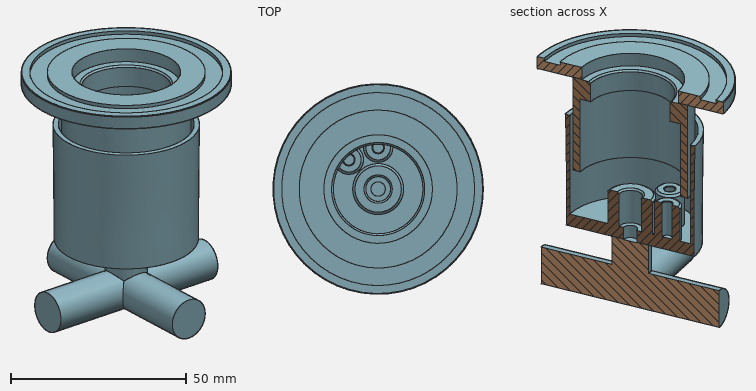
import cadquery as cq
import math

OVERALL_HEIGHT = 73.4

FLANGE_RADIUS = 30.0
FLANGE_THICKNESS = 4.0
FLANGE_BORE_RADIUS = 15.5
FLANGE_EDGE_CHAMFER = 0.2
GROOVE_OUTER_RADIUS = 27.5
GROOVE_INNER_RADIUS = 22.5
GROOVE_DEPTH = 1.0

NECK_RADIUS = 18.5
NECK_EXPOSED_LENGTH = 12.4
NECK_INSERTION = 17.6
LIP_BORE_RADIUS = 12.8
LIP_LENGTH = 6.5
LIP_CHAMFER = 0.5
NECK_INNER_RADIUS = 16.15

CAP_TOP_RADIUS = 20.9
CAP_BOTTOM_RADIUS = 20.6
CAP_HEIGHT = 35.95
CAP_INNER_RADIUS = 19.4
CAP_FLOOR_THICKNESS = 3.95
BOSS_HEIGHT = 11.0
BOSS_CHAMFER = 0.65
CENTRE_BOSS_RADIUS = 7.3
CENTRE_HOLE_RADIUS = 3.5
CENTRE_HOLE_CHAMFER = 0.5
SCREW_HOLE_RADIUS = 2.05
SIDE_BOSS_RADIUS = 4.2
SIDE_HOLE_RADIUS = 1.55
SIDE_HOLE_CHAMFER = 0.2
SIDE_BOSS_OFFSET = 11.8
SIDE_BOSS_ANGLES = (90, 135)

ARM_RADIUS = 6.0
ARM_REACH = 28.6
STEM_RADIUS = 6.0

FLANGE_BOTTOM = OVERALL_HEIGHT - FLANGE_THICKNESS
CAP_TOP = FLANGE_BOTTOM - NECK_EXPOSED_LENGTH
CAP_BOTTOM = CAP_TOP - CAP_HEIGHT
CAP_FLOOR = CAP_BOTTOM + CAP_FLOOR_THICKNESS
BOSS_TOP = CAP_FLOOR + BOSS_HEIGHT
ARM_AXIS_HEIGHT = ARM_RADIUS

INNER_RIM = cq.selectors.RadiusNthSelector(0)


def cylinder(radius, bottom, top, x=0, y=0):
    """Upright cylinder between two levels."""
    return cq.Workplane("XY", origin=(x, y, bottom)).circle(radius).extrude(top - bottom)


def make_flange():
    flange = cylinder(FLANGE_RADIUS, FLANGE_BOTTOM, OVERALL_HEIGHT)
    flange = flange.edges().chamfer(FLANGE_EDGE_CHAMFER)
    flange = flange.cut(cylinder(FLANGE_BORE_RADIUS, FLANGE_BOTTOM, OVERALL_HEIGHT))
    groove = (
        cq.Workplane("XY", origin=(0, 0, OVERALL_HEIGHT - GROOVE_DEPTH))
        .circle(GROOVE_OUTER_RADIUS)
        .circle(GROOVE_INNER_RADIUS)
        .extrude(GROOVE_DEPTH)
    )
    return flange.cut(groove)


def make_neck():
    neck_bottom = CAP_TOP - NECK_INSERTION
    lip_bottom = FLANGE_BOTTOM - LIP_LENGTH
    neck = cylinder(NECK_RADIUS, neck_bottom, FLANGE_BOTTOM)
    neck = neck.cut(cylinder(LIP_BORE_RADIUS, lip_bottom, FLANGE_BOTTOM))
    neck = neck.faces(">Z").edges(INNER_RIM).chamfer(LIP_CHAMFER)
    return neck.cut(cylinder(NECK_INNER_RADIUS, neck_bottom, lip_bottom))


def make_boss(radius, hole_radius, hole_chamfer):
    """Upright boss on the cap floor, centred on the Z axis, with both upper rims chamfered."""
    boss = cylinder(radius, CAP_FLOOR, BOSS_TOP).faces(">Z").edges().chamfer(BOSS_CHAMFER)
    boss = boss.cut(cylinder(hole_radius, CAP_FLOOR, BOSS_TOP))
    return boss.faces(">Z").edges(INNER_RIM).chamfer(hole_chamfer)


def make_cap():
    shell = cq.Solid.makeCone(CAP_BOTTOM_RADIUS, CAP_TOP_RADIUS, CAP_HEIGHT, pnt=cq.Vector(0, 0, CAP_BOTTOM))
    cap = cq.Workplane("XY").newObject([shell])
    cap = cap.cut(cylinder(CAP_INNER_RADIUS, CAP_FLOOR, CAP_TOP))
    cap = cap.union(make_boss(CENTRE_BOSS_RADIUS, CENTRE_HOLE_RADIUS, CENTRE_HOLE_CHAMFER))
    side_boss = make_boss(SIDE_BOSS_RADIUS, SIDE_HOLE_RADIUS, SIDE_HOLE_CHAMFER)
    for angle in SIDE_BOSS_ANGLES:
        x = SIDE_BOSS_OFFSET * math.cos(math.radians(angle))
        y = SIDE_BOSS_OFFSET * math.sin(math.radians(angle))
        cap = cap.union(side_boss.translate((x, y, 0)))
    return cap.cut(cylinder(SCREW_HOLE_RADIUS, CAP_BOTTOM, CAP_FLOOR))


def make_handle():
    handle = cylinder(STEM_RADIUS, ARM_AXIS_HEIGHT, CAP_BOTTOM)
    for plane in ("YZ", "XZ"):
        arms = (
            cq.Workplane(plane, origin=(0, 0, ARM_AXIS_HEIGHT))
            .circle(ARM_RADIUS)
            .extrude(ARM_REACH, both=True)
        )
        handle = handle.union(arms)
    return handle


flange = make_flange()
neck = make_neck()
cap = make_cap()
handle = make_handle()

result = cq.Compound.makeCompound([flange.val(), neck.val(), cap.val(), handle.val()])